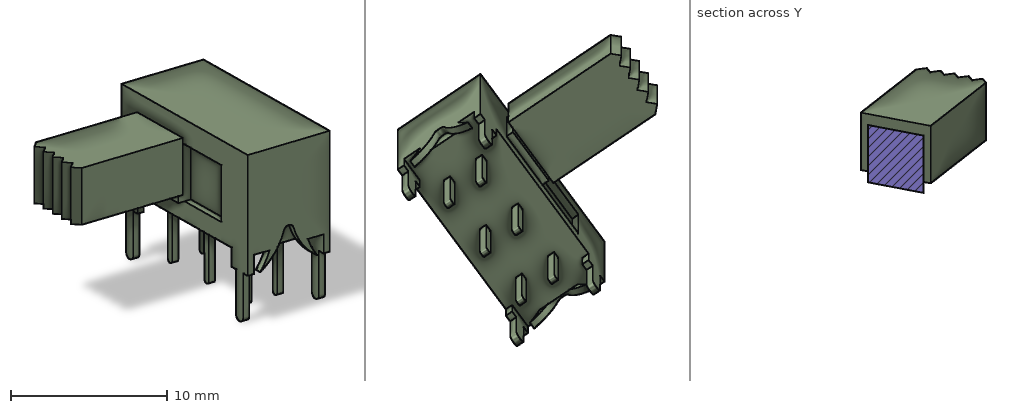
import cadquery as cq


total_depth = 15.5
shell_width = 13.8
shell_depth = 6.5
shell_height = 8.5
sheet = 0.5

rim_notch_width = 10.25
notch_top = 2.75
window_width = 8.0
window_height = 4.0

insert_bottom = 1.35
insert_width = shell_width - 2 * sheet
insert_depth = shell_depth - 2 * sheet

neck_width = window_width / 2
neck_gap = 0.5
knob_overhang = 0.5
knob_width = neck_width + 2 * knob_overhang
knob_bottom = 3.5
knob_height = window_height
tooth_count = 5
tooth_height = knob_width / tooth_count / 2
slider_x = -neck_width / 2

leg_length = 3.5
leg_width = 0.8
leg_x = 6.0
pin_width = 0.5
pin_pitch_x = 4.0
pin_pitch_y = 2.51

claw_root = 1.21
claw_tip = 2.26
claw_outer_mid = (1.53, 1.3)
claw_inner_mid = (1.02, 1.16)
crown_top = 2.73
crown_half_width = 0.37
crown_rise = 0.25

front_y = -shell_depth / 2
insert_front_y = -insert_depth / 2


def block(width, depth, height, x=0.0, y=0.0, bottom=0.0):
    """Box centred on x and y, standing on the level given by bottom."""
    return cq.Workplane("XY").box(width, depth, height, (True, True, False)).translate((x, y, bottom))


def rounded_pin(width, thickness, top, x, y):
    """Flat pin from top down to the leg tips, with a half-round end."""
    radius = width / 2
    shoulder = radius - leg_length
    return (
        cq.Workplane("XZ", origin=(x, y + thickness / 2, 0))
        .moveTo(-radius, top)
        .lineTo(-radius, shoulder)
        .threePointArc((0, -leg_length), (radius, shoulder))
        .lineTo(radius, top)
        .close()
        .extrude(thickness)
    )


def claw_cutter():
    """Opening of both end walls that leaves two curved claws below the notch level."""
    opening = block(shell_width, insert_depth, notch_top)
    crown_shoulder = crown_top - crown_rise
    outer_y, outer_z = claw_outer_mid
    inner_y, inner_z = claw_inner_mid
    claws = (
        cq.Workplane("YZ", origin=(-shell_width / 2, 0, 0))
        .moveTo(-claw_root, notch_top)
        .threePointArc((-outer_y, outer_z), (-claw_tip, 0))
        .threePointArc((-inner_y, inner_z), (-crown_half_width, crown_shoulder))
        .threePointArc((0, crown_top), (crown_half_width, crown_shoulder))
        .threePointArc((inner_y, inner_z), (claw_tip, 0))
        .threePointArc((outer_y, outer_z), (claw_root, notch_top))
        .close()
        .extrude(shell_width)
    )
    return opening.cut(claws)


def make_shell():
    cavity = block(insert_width, insert_depth, shell_height - sheet)
    rim_notch = block(rim_notch_width, shell_depth, notch_top)
    window = block(window_width, sheet, window_height, y=front_y + sheet / 2, bottom=notch_top)
    shell = block(shell_width, shell_depth, shell_height)
    return shell.cut(cavity).cut(rim_notch).cut(window).cut(claw_cutter())


def make_insert():
    """Core filling the shell, with lugs that fill the notches flush with the shell's outer faces."""
    core = block(insert_width, insert_depth, shell_height - sheet - insert_bottom, bottom=insert_bottom)
    lug_height = notch_top - insert_bottom
    insert = core.union(block(rim_notch_width, shell_depth, lug_height, bottom=insert_bottom))

    lug_depth = insert_depth / 2 - claw_root
    lug_y = claw_root + lug_depth / 2
    for side in (-1, 1):
        end_lugs = block(shell_width, lug_depth, lug_height, y=side * lug_y, bottom=insert_bottom)
        insert = insert.union(end_lugs)
    return insert


def make_slider():
    knob_back = front_y - neck_gap
    knob_front = shell_depth / 2 - total_depth
    valley_y = knob_front + tooth_height
    pitch = knob_width / tooth_count

    neck_length = insert_front_y - knob_back
    neck_y = knob_back + neck_length / 2
    neck = block(neck_width, neck_length, window_height, slider_x, neck_y, notch_top)

    left_x = slider_x - knob_width / 2
    outline = cq.Workplane("XY", origin=(left_x, 0, knob_bottom)).moveTo(0, knob_back).lineTo(0, valley_y)
    for tooth in range(tooth_count):
        outline = outline.lineTo((tooth + 0.5) * pitch, knob_front)
        outline = outline.lineTo((tooth + 1) * pitch, valley_y)
    knob = outline.lineTo(knob_width, knob_back).close().extrude(knob_height)
    return neck.union(knob)


result = make_shell().union(make_insert()).union(make_slider())

for side in (-1, 1):
    leg_y = side * (shell_depth - sheet) / 2
    for end in (-1, 1):
        result = result.union(rounded_pin(leg_width, sheet, insert_bottom, end * leg_x, leg_y))
    for column in (-1, 0, 1):
        pin_y = side * pin_pitch_y / 2
        result = result.union(rounded_pin(pin_width, pin_width, insert_bottom, column * pin_pitch_x, pin_y))